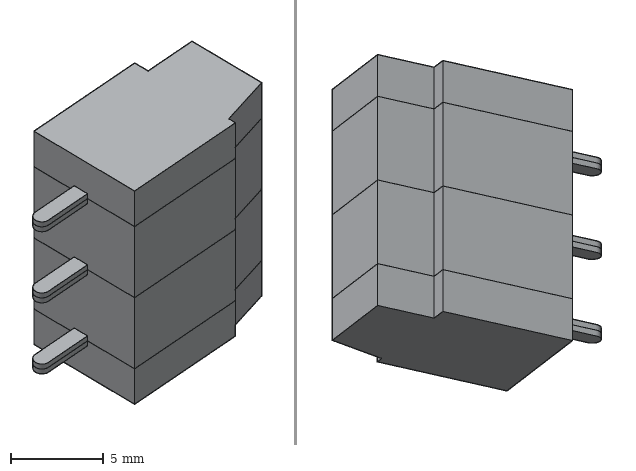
import cadquery as cq


pole_count = 3
pole_pitch = 5.0
end_height = pole_pitch / 2

housing_width = 7.5
housing_depth = 11.5
nose_depth = 3.49
left_step = 1.0
right_step = 0.5
nose_taper = 0.82
shoulder_y = housing_depth - nose_depth
nose_right = housing_width - right_step

pin_length = 3.6
pin_width = 1.0
pin_thickness = 0.7
pin_center_x = 3.5
pin_radius = pin_width / 2
pin_left = pin_center_x - pin_radius
pin_right = pin_center_x + pin_radius
pin_round_start_y = pin_radius - pin_length


def housing_slice(bottom_z, height):
    """Stepped housing profile with a nose tapered on its right side."""
    return (
        cq.Workplane("XY", origin=(0, 0, bottom_z))
        .moveTo(0, 0)
        .lineTo(housing_width, 0)
        .lineTo(housing_width, shoulder_y)
        .lineTo(nose_right, shoulder_y)
        .lineTo(nose_right - nose_taper, housing_depth)
        .lineTo(left_step, housing_depth)
        .lineTo(left_step, shoulder_y)
        .lineTo(0, shoulder_y)
        .close()
        .extrude(height)
    )


def half_pin(bottom_z):
    """Half the thickness of a pin, joined to the pin side of the housing."""
    return (
        cq.Workplane("XY", origin=(0, 0, bottom_z))
        .moveTo(pin_left, 0)
        .lineTo(pin_left, pin_round_start_y)
        .threePointArc((pin_center_x, -pin_length), (pin_right, pin_round_start_y))
        .lineTo(pin_right, 0)
        .close()
        .extrude(pin_thickness / 2)
    )


def lower_half_pin(pin_plane_z):
    """Pin half lying just below the pin's middle plane."""
    return half_pin(pin_plane_z - pin_thickness / 2)


def upper_half_pin(pin_plane_z):
    """Pin half lying just above the pin's middle plane."""
    return half_pin(pin_plane_z)


def bottom_end(first_pin_z):
    """End segment from the foot of the block up to the first pin plane."""
    return housing_slice(first_pin_z - end_height, end_height).union(lower_half_pin(first_pin_z))


def middle_segment(pin_z):
    """Segment that spans from one pin plane to the next one above it."""
    next_pin_z = pin_z + pole_pitch
    return (
        housing_slice(pin_z, pole_pitch)
        .union(upper_half_pin(pin_z))
        .union(lower_half_pin(next_pin_z))
    )


def top_end(last_pin_z):
    """End segment from the last pin plane up to the head of the block."""
    return housing_slice(last_pin_z, end_height).union(upper_half_pin(last_pin_z))


pin_planes = [end_height + i * pole_pitch for i in range(pole_count)]
bottom_segment = bottom_end(pin_planes[0])
middle_segments = [middle_segment(pin_z) for pin_z in pin_planes[:-1]]
top_segment = top_end(pin_planes[-1])

result = cq.Compound.makeCompound(
    [
        bottom_segment.val(),
        *[segment.val() for segment in middle_segments],
        top_segment.val(),
    ]
)